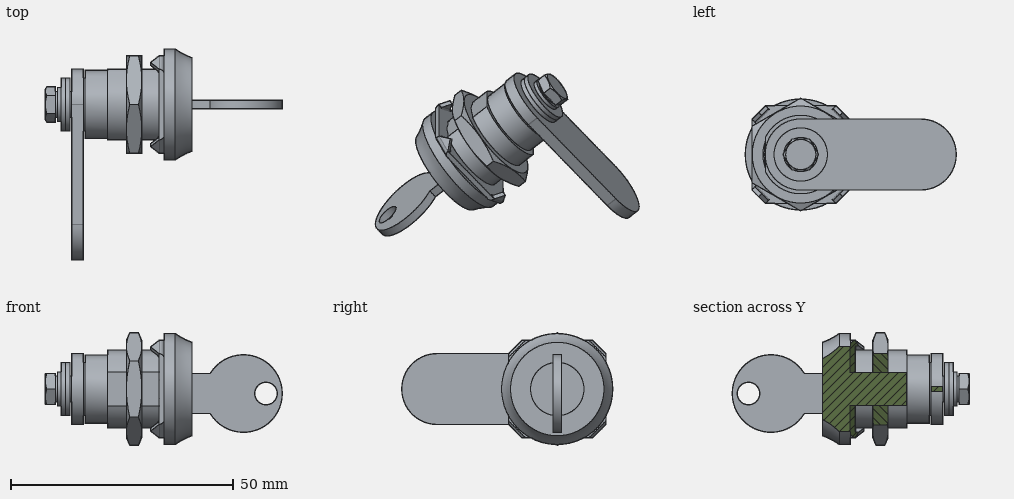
import cadquery as cq
import math


head_end = 2.3
lock_washer_start = 2.8
washer_start = 3.6
washer_thickness = 1.0
washer_count = 2
stem_start = washer_start + washer_count * washer_thickness
cam_start = 6.0
cam_end = 8.6
housing_start = 9.0
barrel_start = 14.05
nut_start = 18.25
nut_end = 21.75
grip_start = 25.65
flange_start = 26.8
bezel_start = 29.25
housing_end = 33.1
key_end = 53.35

bolt_flats = 7.0
bolt_chamfer_diameter = 6.8
bolt_chamfer_angle = 30.0
bolt_collar_diameter = 5.9
shank_diameter = 4.0
lock_washer_diameter = 7.7
washer_diameter = 12.0
washer_bore = 4.3

plug_diameter = 12.0
stem_diameter = 5.9
cam_width = 16.0
cam_reach = 27.0

rear_diameter = 15.4
barrel_diameter = 17.65
barrel_flats = 15.95
flange_diameter = 25.0
bezel_end_diameter = 21.0
bezel_hollow = 0.15

nut_flats = 22.0
nut_chamfer_diameter = 21.8
nut_chamfer_angle = 24.0
nut_bore = 17.0
grip_side = 22.0
grip_bore = 16.5
grip_corner_leg = 3.05
grip_corner_face = (grip_side - grip_corner_leg) / math.sqrt(2)
grip_bend_radius = 1.35
grip_bend_drop = 0.6
tooth_height = 2.0
tooth_thickness = 0.95
tooth_root_radius = 0.25

key_thickness = 2.0
blade_width = 9.0
bow_diameter = 17.5
key_drop = 1.0
key_hole_diameter = 5.0
key_hole_x = 49.65


def section(x):
    """Workplane across the lock axis, with local x along Y and local y along Z."""
    return cq.Workplane("YZ", origin=(x, 0, 0))


def cylinder(diameter, start, end):
    return section(start).circle(diameter / 2).extrude(end - start)


def ring(diameter, bore, start, end):
    return section(start).circle(diameter / 2).circle(bore / 2).extrude(end - start)


def chamfer_cone(face_diameter, angle, face_x, direction):
    """Cone that widens from a hexagon's end face, its side at the given angle to that face."""
    face_radius = face_diameter / 2
    wide_radius = 2 * face_diameter
    far_x = face_x + direction * (wide_radius - face_radius) * math.tan(math.radians(angle))
    outline = [(face_x, 0), (face_x, face_radius), (far_x, wide_radius), (far_x, 0)]
    return cq.Workplane("XY").polyline(outline).close().revolve(360, (0, 0, 0), (1, 0, 0))


def hexagon(flats, start, end, turn):
    corners = flats / math.cos(math.pi / 6)
    prism = section(start).polygon(6, corners).extrude(end - start)
    return prism.rotate((0, 0, 0), (1, 0, 0), turn)


def barrel(start, end):
    """Barrel shape with a flat on its +Y and -Y sides."""
    flats = section(start).rect(barrel_flats, barrel_diameter).extrude(end - start)
    return cylinder(barrel_diameter, start, end).intersect(flats)


def make_housing():
    """Rear sleeve, flatted barrel and flange with a hollow bezel, bored through for the plug."""
    bezel_middle_x = (bezel_start + housing_end) / 2
    bezel_middle_radius = (flange_diameter + bezel_end_diameter) / 4
    bezel_length = housing_end - bezel_start
    bezel_drop = (flange_diameter - bezel_end_diameter) / 2
    slope = math.atan2(bezel_drop, bezel_length)
    hollow_point = (
        bezel_middle_x - bezel_hollow * math.sin(slope),
        bezel_middle_radius - bezel_hollow * math.cos(slope),
    )
    flange = (
        cq.Workplane("XY")
        .moveTo(flange_start, 0)
        .lineTo(flange_start, flange_diameter / 2)
        .lineTo(bezel_start, flange_diameter / 2)
        .threePointArc(hollow_point, (housing_end, bezel_end_diameter / 2))
        .lineTo(housing_end, 0)
        .close()
        .revolve(360, (0, 0, 0), (1, 0, 0))
    )
    rear = cylinder(rear_diameter, housing_start, barrel_start)
    body = rear.union(barrel(barrel_start, flange_start)).union(flange)
    return body.cut(cylinder(plug_diameter, housing_start, housing_end))


def make_plug():
    """Plug through the whole housing, with a stem that carries the cam and takes the bolt shank."""
    stem = cylinder(stem_diameter, stem_start, cam_end)
    plug = cylinder(plug_diameter, cam_end, housing_end).union(stem)
    return plug.cut(cylinder(shank_diameter, stem_start, cam_end))


def make_bolt():
    """Hexagon head chamfered at its free end, a round collar and a plain shank."""
    cone = chamfer_cone(bolt_chamfer_diameter, bolt_chamfer_angle, 0, 1)
    head = hexagon(bolt_flats, 0, head_end, 0).intersect(cone)
    collar = cylinder(bolt_collar_diameter, head_end, lock_washer_start)
    shank = cylinder(shank_diameter, lock_washer_start, cam_end)
    return head.union(collar).union(shank)


def make_lock_washer():
    return ring(lock_washer_diameter, washer_bore, lock_washer_start, washer_start)


def make_washer(index):
    start = washer_start + index * washer_thickness
    return ring(washer_diameter, washer_bore, start, start + washer_thickness)


def make_cam():
    arm = section(cam_start).center(-cam_reach / 2, 0).slot2D(cam_reach + cam_width, cam_width)
    return arm.extrude(cam_end - cam_start).cut(cylinder(stem_diameter, cam_start, cam_end))


def make_nut():
    """Hexagon nut chamfered at both ends, its round bore opened up to clear the flatted barrel."""
    nut = hexagon(nut_flats, nut_start, nut_end, 90)
    nut = nut.intersect(chamfer_cone(nut_chamfer_diameter, nut_chamfer_angle, nut_start, 1))
    nut = nut.intersect(chamfer_cone(nut_chamfer_diameter, nut_chamfer_angle, nut_end, -1))
    nut = nut.cut(cylinder(nut_bore, nut_start, nut_end))
    return nut.cut(barrel(nut_start, nut_end))


def make_tooth():
    """Pointed tooth standing on the +Z side of the lock axis, with a round root on its inner face."""
    inner_face = grip_corner_face - tooth_thickness
    half_width = grip_corner_leg / math.sqrt(2)
    triangle = [
        (grip_start, -half_width),
        (grip_start - tooth_height, 0),
        (grip_start, half_width),
    ]
    tooth = (
        cq.Workplane("XY", origin=(0, 0, inner_face))
        .polyline(triangle)
        .close()
        .extrude(tooth_thickness)
    )
    root = (
        cq.Workplane("XZ", origin=(0, half_width, 0))
        .moveTo(grip_start, inner_face)
        .lineTo(grip_start - tooth_root_radius, inner_face)
        .radiusArc((grip_start, inner_face - tooth_root_radius), tooth_root_radius)
        .close()
        .extrude(2 * half_width)
    )
    return tooth.union(root)


def make_bend_trim():
    """Material outside the rounded bend at the back of a plate corner on the +Z side."""
    return (
        cq.Workplane("XZ", origin=(0, grip_side / 2, 0))
        .moveTo(grip_start, grip_corner_face)
        .radiusArc((flange_start, grip_corner_face - grip_bend_drop), grip_bend_radius)
        .lineTo(flange_start, grip_corner_face)
        .close()
        .extrude(grip_side)
    )


def make_grip_washer():
    """Square plate with cut corners, each carrying a pointed tooth toward the nut.

    Its round bore is opened up to clear the flatted barrel.
    """
    plate = section(grip_start).rect(grip_side, grip_side).extrude(flange_start - grip_start)
    plate = plate.edges("|X").chamfer(grip_corner_leg)
    tooth = make_tooth()
    bend_trim = make_bend_trim()
    for corner in range(4):
        angle = 45 + 90 * corner
        plate = plate.union(tooth.rotate((0, 0, 0), (1, 0, 0), angle))
        plate = plate.cut(bend_trim.rotate((0, 0, 0), (1, 0, 0), angle))
    plate = plate.cut(cylinder(grip_bore, grip_start, flange_start))
    return plate.cut(barrel(grip_start, flange_start))


def make_key():
    """Flat key whose blade meets the front of the lock, set a little below the lock axis."""
    bow_x = key_end - bow_diameter / 2
    blade_length = bow_x - housing_end

    def face(x):
        return cq.Workplane("XZ", origin=(x, key_thickness / 2, -key_drop))

    bow = face(bow_x).circle(bow_diameter / 2).extrude(key_thickness)
    blade = face(bow_x - blade_length / 2).rect(blade_length, blade_width).extrude(key_thickness)
    hole = face(key_hole_x).circle(key_hole_diameter / 2).extrude(key_thickness)
    return bow.union(blade).cut(hole)


housing = make_housing()
plug = make_plug()
bolt = make_bolt()
lock_washer = make_lock_washer()
washers = [make_washer(index) for index in range(washer_count)]
cam = make_cam()
nut = make_nut()
grip_washer = make_grip_washer()
key = make_key()

result = cq.Compound.makeCompound([
    housing.val(),
    plug.val(),
    bolt.val(),
    lock_washer.val(),
    *[washer.val() for washer in washers],
    cam.val(),
    nut.val(),
    grip_washer.val(),
    key.val(),
])